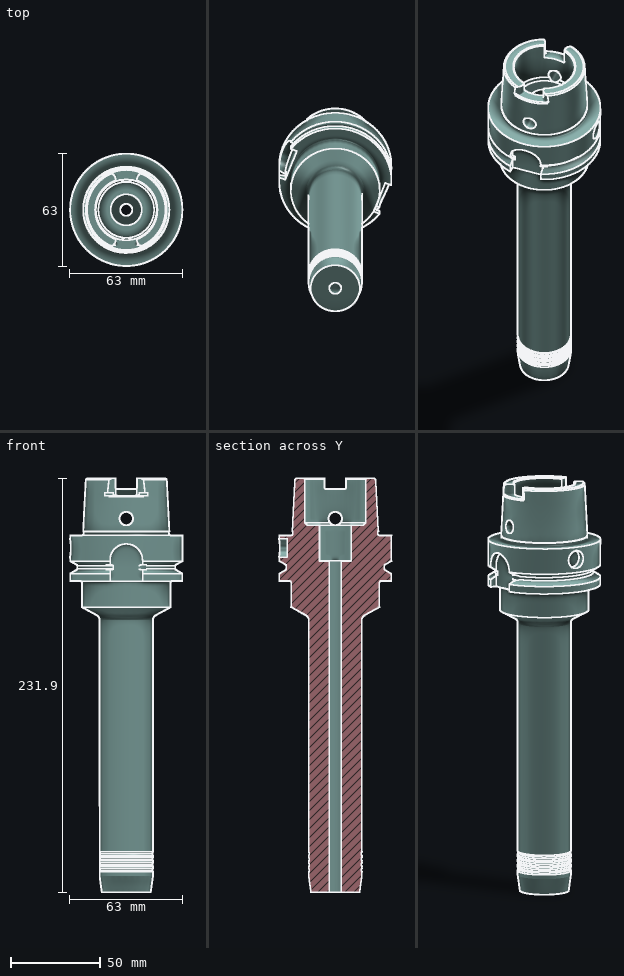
import cadquery as cq
import math


total_length = 231.9

taper_top = 32.0
taper_start = 2.2
gauge_height = 6.3
gauge_radius = 24.0
taper_slope = 1 / 20
rim_chamfer = 0.8
relief_radius = 23.9
relief_fillet = 1.2

flange_radius = 31.5
flange_bottom = -25.6
flange_foot_fillet = 0.8
groove_middle = -17.9
groove_width = 7.0
groove_floor_radius = 27.5
groove_flank_angle = 30.0
groove_floor_fillet = 0.5

body_radius = 24.9
body_bottom = -40.2
nose_radius = 15.0
neck_bottom = -45.6
neck_fillet = 3.0
nose_bottom = taper_top - total_length
tip_taper_top = -190.8
tip_radius = 13.75

ring_groove_middle = -182.8
ring_groove_pitch = 3.05
ring_groove_count = 4
ring_groove_width = 2.0
ring_groove_depth = 0.4

selection_margin = 0.1
cut_overrun = 1.0

cavity_radius = 17.0
cavity_bottom = 5.7
cavity_corner = 1.4
mouth_chamfer = 0.5
counterbore_radius = 8.7
counterbore_depth = 20.0
bore_radius = 3.3

slot_half_width = 6.0
slot_flare_radius = 3.5
slot_flat_distance = 20.6
front_slot_floor = 22.3
back_slot_floor = 26.0
slot_corner_fillet = 0.8
floor_edge_chamfer = 0.7
undercut_depth = 0.8
undercut_height = 1.6

cross_hole_diameter = 7.4
cross_hole_height = cavity_bottom + cross_hole_diameter / 2

key_half_width = 9.1
key_arc_middle = -13.9
key_floor_distance = 26.5
marker_diameter = 10.0
marker_height = -7.0
marker_depth = 4.5


def taper_radius(height):
    return gauge_radius - (height - gauge_height) * taper_slope


def revolve_outline(points):
    """Revolve a closed (radius, height) outline around Z."""
    return cq.Workplane("XZ").polyline(points).close().revolve(360, (0, 0, 0), (0, 1, 0))


def ring_selector(radius, height):
    """Pick the circular edges at a height that lie within a radius."""
    reach = radius + selection_margin
    return cq.selectors.BoxSelector(
        (-reach, -reach, height - selection_margin),
        (reach, reach, height + selection_margin),
        boundingbox=True,
    )


def make_body():
    groove_top = groove_middle + groove_width / 2
    groove_end = groove_middle - groove_width / 2
    flank = (flange_radius - groove_floor_radius) * math.tan(math.radians(groove_flank_angle))
    outline = [
        (0, taper_top),
        (taper_radius(taper_top) - rim_chamfer, taper_top),
        (taper_radius(taper_top - rim_chamfer), taper_top - rim_chamfer),
        (taper_radius(taper_start), taper_start),
        (relief_radius, taper_start - (taper_radius(taper_start) - relief_radius)),
        (relief_radius, 0),
        (flange_radius, 0),
        (flange_radius, groove_top),
        (groove_floor_radius, groove_top - flank),
        (groove_floor_radius, groove_end + flank),
        (flange_radius, groove_end),
        (flange_radius, flange_bottom),
        (body_radius, flange_bottom),
        (body_radius, body_bottom),
        (nose_radius, neck_bottom),
        (nose_radius, tip_taper_top),
        (tip_radius, nose_bottom),
        (0, nose_bottom),
    ]
    body = revolve_outline(outline)
    body = body.edges(ring_selector(relief_radius, 0)).fillet(relief_fillet)
    body = body.edges(ring_selector(body_radius, flange_bottom)).fillet(flange_foot_fillet)
    for height in (groove_top - flank, groove_end + flank):
        body = body.edges(ring_selector(groove_floor_radius, height)).fillet(groove_floor_fillet)
    return body.edges(ring_selector(nose_radius, neck_bottom)).fillet(neck_fillet)


def make_ring_groove(height):
    """V-shaped ring around the nose."""
    half = ring_groove_width / 2
    return revolve_outline([
        (nose_radius - ring_groove_depth, height),
        (nose_radius, height + half),
        (nose_radius + cut_overrun, height + half),
        (nose_radius + cut_overrun, height - half),
        (nose_radius, height - half),
    ])


def make_cavity():
    """Clamping cavity, counterbore and coolant bore in one revolved cut."""
    counterbore_bottom = cavity_bottom - counterbore_depth
    return revolve_outline([
        (0, taper_top),
        (cavity_radius + mouth_chamfer, taper_top),
        (cavity_radius, taper_top - mouth_chamfer),
        (cavity_radius, cavity_bottom + cavity_corner),
        (cavity_radius - cavity_corner, cavity_bottom),
        (counterbore_radius, cavity_bottom),
        (counterbore_radius, counterbore_bottom),
        (bore_radius, counterbore_bottom),
        (bore_radius, nose_bottom),
        (0, nose_bottom),
    ])


def make_drive_slot(floor):
    """Slot on the -Y side whose walls flare outward into a flat."""
    far = flange_radius
    flare_end = slot_half_width + slot_flare_radius
    flare_start = slot_flat_distance - slot_flare_radius
    arc_offset = slot_flare_radius * (1 - math.sqrt(0.5))
    arc_x = slot_half_width + arc_offset
    arc_y = slot_flat_distance - arc_offset
    slot = (
        cq.Workplane("XY", origin=(0, 0, floor))
        .moveTo(-slot_half_width, 0)
        .lineTo(slot_half_width, 0)
        .lineTo(slot_half_width, -flare_start)
        .threePointArc((arc_x, -arc_y), (flare_end, -slot_flat_distance))
        .lineTo(far, -slot_flat_distance)
        .lineTo(far, -far)
        .lineTo(-far, -far)
        .lineTo(-far, -slot_flat_distance)
        .lineTo(-flare_end, -slot_flat_distance)
        .threePointArc((-arc_x, -arc_y), (-slot_half_width, -flare_start))
        .close()
        .extrude(taper_top - floor)
    )
    wall_foot = cq.selectors.BoxSelector(
        (-flare_end, -flare_start, floor - selection_margin),
        (flare_end, -selection_margin, floor + selection_margin),
    )
    slot = slot.edges(wall_foot).fillet(slot_corner_fillet)
    edge = taper_radius(floor)
    floor_edge = revolve_outline([
        (edge - floor_edge_chamfer, floor),
        (edge + cut_overrun, floor),
        (edge + cut_overrun, floor - floor_edge_chamfer),
        (edge, floor - floor_edge_chamfer),
    ])
    window = cq.Workplane("XY").box(2 * flare_end, far, taper_top, centered=(True, False, False))
    return slot.union(floor_edge.intersect(window.translate((0, -far, 0))))


def make_undercut():
    """Relief in the foot of the flat beside the -Y drive slot."""
    length = 2 * flange_radius
    bar = cq.Workplane("XY").box(length, flange_radius, undercut_height, centered=(True, False, False))
    wall = slot_flat_distance - undercut_depth
    return bar.translate((0, -wall - flange_radius, front_slot_floor))


def make_key_slot():
    """Round-topped gripper slot on the -Y side, open at the flange bottom."""
    return (
        cq.Workplane("XZ", origin=(0, -key_floor_distance, 0))
        .moveTo(-key_half_width, flange_bottom)
        .lineTo(-key_half_width, key_arc_middle)
        .threePointArc((0, key_arc_middle + key_half_width), (key_half_width, key_arc_middle))
        .lineTo(key_half_width, flange_bottom)
        .close()
        .extrude(flange_radius - key_floor_distance + cut_overrun)
    )


def make_cross_hole():
    middle = (0, flange_radius, cross_hole_height)
    return cq.Workplane("XZ", origin=middle).circle(cross_hole_diameter / 2).extrude(2 * flange_radius)


def make_marker_hole():
    floor = (marker_depth - flange_radius, 0, marker_height)
    return cq.Workplane("YZ", origin=floor).circle(marker_diameter / 2).extrude(-2 * marker_depth)


def opposite(shape):
    """Turn a -Y feature round to the +Y side."""
    return shape.rotate((0, 0, 0), (0, 0, 1), 180)


result = make_body().cut(make_cavity())
for index in range(ring_groove_count):
    offset = (index - (ring_groove_count - 1) / 2) * ring_groove_pitch
    result = result.cut(make_ring_groove(ring_groove_middle + offset))
result = result.cut(make_drive_slot(front_slot_floor)).cut(make_undercut())
result = result.cut(opposite(make_drive_slot(back_slot_floor)))
result = result.cut(make_key_slot()).cut(opposite(make_key_slot()))
result = result.cut(make_cross_hole()).cut(make_marker_hole())